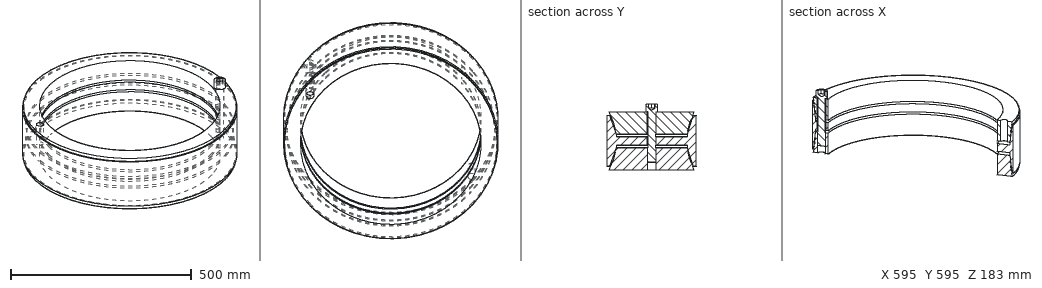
import cadquery as cq
import math

outer_diameter = 595.0
bore_diameter = 500.0
ring_stack_height = 161.0
outer_radius = outer_diameter / 2
bore_radius = bore_diameter / 2

cone_end_diameter = 590.0
cone_half_angle = 7.0
protrusion = 10.0

web_thickness = 24.0
web_gap = 6.5
web_bottom = (ring_stack_height - web_thickness) / 2
web_top = web_bottom + web_thickness
rear_cone_end = web_bottom - web_gap
front_cone_end = web_top + web_gap
outer_ring_bottom = protrusion
outer_ring_top = ring_stack_height - protrusion

bolt_circle_radius = 270.0
screw_diameter = 22.0
screw_length = 140.0
screw_clearance_diameter = 24.0
forcing_thread_diameter = 19.29
head_diameter = 33.0
head_height = 22.0
head_fillet = 2.2
socket_across_flats = 17.0
socket_depth = 11.0
socket_tip_angle = 120.0


def hole_cutter(diameter, y):
    """Cylinder along Z through the whole stack of rings, at the given Y."""
    return cq.Workplane("XY").center(0, y).circle(diameter / 2).extrude(ring_stack_height)


def revolved(profile):
    """Ring from (radius, z) points turned about the Z axis."""
    return cq.Workplane("XZ").polyline(profile).close().revolve(360, (0, 0, 0), (0, 1, 0))


def cone_radius(distance):
    """Radius of the wedge cone at a distance along Z from the outer end face of its ring."""
    return cone_end_diameter / 2 - distance * math.tan(math.radians(cone_half_angle))


def make_thrust_ring(end_face, cone_end):
    """Thrust ring tapering from its end face to its inner end."""
    return revolved([
        (bore_radius, end_face),
        (cone_radius(0), end_face),
        (cone_radius(abs(end_face - cone_end)), cone_end),
        (bore_radius, cone_end),
    ])


def make_outer_ring():
    """Outer ring with a conical seat at each end and a web reaching in to the bore."""
    seat_mouth_radius = cone_radius(protrusion)
    seat_end_radius = cone_radius(rear_cone_end)
    ring = revolved([
        (outer_radius, outer_ring_bottom),
        (outer_radius, outer_ring_top),
        (seat_mouth_radius, outer_ring_top),
        (seat_end_radius, front_cone_end),
        (seat_end_radius, web_top),
        (bore_radius, web_top),
        (bore_radius, web_bottom),
        (seat_end_radius, web_bottom),
        (seat_end_radius, rear_cone_end),
        (seat_mouth_radius, outer_ring_bottom),
    ])
    return ring.cut(hole_cutter(screw_clearance_diameter, bolt_circle_radius))


def make_front_ring():
    """Front thrust ring with the screw clearance hole and the forcing-off thread."""
    ring = make_thrust_ring(ring_stack_height, front_cone_end)
    ring = ring.cut(hole_cutter(screw_clearance_diameter, bolt_circle_radius))
    return ring.cut(hole_cutter(forcing_thread_diameter, -bolt_circle_radius))


def make_rear_ring():
    """Rear thrust ring with the hole that takes the end of the screw."""
    ring = make_thrust_ring(0, rear_cone_end)
    return ring.cut(hole_cutter(screw_diameter, bolt_circle_radius))


def make_socket_cutter():
    """Hexagon with corners toward +Y and -Y, ending in a conical drill point, top at z = 0."""
    corner_diameter = socket_across_flats / math.cos(math.radians(30))
    corner_radius = corner_diameter / 2
    tip_height = corner_radius / math.tan(math.radians(socket_tip_angle / 2))
    total_depth = socket_depth + tip_height
    hexagon = (
        cq.Workplane("XY")
        .polygon(6, corner_diameter)
        .extrude(-total_depth)
        .rotate((0, 0, 0), (0, 0, 1), 30)
    )
    pointed_drill = revolved([
        (0, 0),
        (corner_radius, 0),
        (corner_radius, -socket_depth),
        (0, -total_depth),
    ])
    return hexagon.intersect(pointed_drill)


def make_screw():
    """Socket head screw, its head seated on the front face of the rings."""
    head = cq.Workplane("XY").circle(head_diameter / 2).extrude(head_height)
    head = head.faces(">Z").edges().fillet(head_fillet)
    head = head.cut(make_socket_cutter().translate((0, 0, head_height)))
    shank = cq.Workplane("XY").circle(screw_diameter / 2).extrude(-screw_length)
    return head.union(shank).translate((0, bolt_circle_radius, ring_stack_height))


outer_ring = make_outer_ring()
front_ring = make_front_ring()
rear_ring = make_rear_ring()
screw = make_screw()

result = cq.Compound.makeCompound([
    outer_ring.val(),
    front_ring.val(),
    rear_ring.val(),
    screw.val(),
])